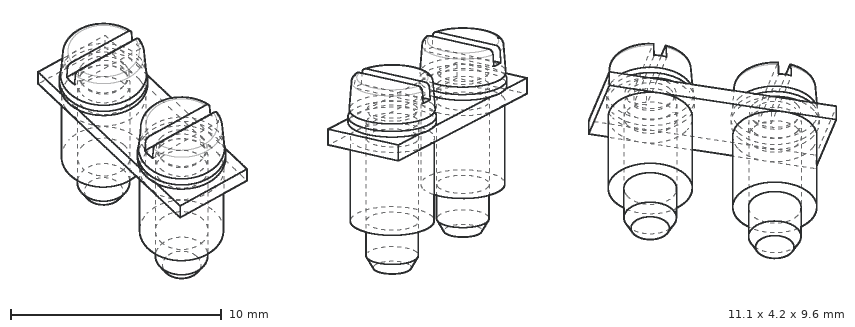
import cadquery as cq

PLATE_LENGTH = 11.1
PLATE_WIDTH = 4.0
PLATE_THICKNESS = 0.8
SCREW_PITCH = 6.09

SLEEVE_DIAMETER = 4.0
SLEEVE_LENGTH = 4.2

SHANK_DIAMETER = 2.5
SHANK_PROJECTION = 2.35
TIP_DIAMETER = 1.82
TIP_HEIGHT = 0.61

COLLAR_DIAMETER = 4.2
COLLAR_RIM_HEIGHT = 0.29
COLLAR_HEIGHT = 0.45
DOME_BULGE = 0.03
NECK_DIAMETER = 2.22
NECK_TOP_DIAMETER = 2.42
NECK_HEIGHT = 0.19

HEAD_BOTTOM_DIAMETER = 4.08
HEAD_TOP_DIAMETER = 3.84
HEAD_HEIGHT = 1.61
HEAD_EDGE_RADIUS = 0.24
SLOT_WIDTH = 0.61
SLOT_DEPTH = 0.82

SCREW_POSITIONS = [-SCREW_PITCH / 2, SCREW_PITCH / 2]


def make_plate():
    """Rectangular plate with one through hole per screw."""
    return (
        cq.Workplane("XY")
        .box(PLATE_LENGTH, PLATE_WIDTH, PLATE_THICKNESS, centered=(True, True, False))
        .faces(">Z")
        .workplane()
        .pushPoints([(x, 0) for x in SCREW_POSITIONS])
        .hole(SHANK_DIAMETER)
    )


def make_sleeve(x):
    """Tube hanging from the underside of the plate."""
    return (
        cq.Workplane("XY")
        .center(x, 0)
        .circle(SLEEVE_DIAMETER / 2)
        .circle(SHANK_DIAMETER / 2)
        .extrude(-SLEEVE_LENGTH)
    )


def make_screw_stem():
    """Shank with tapered tip, domed collar and neck, revolved about Z."""
    tip_z = -SLEEVE_LENGTH - SHANK_PROJECTION
    rim_z = PLATE_THICKNESS + COLLAR_RIM_HEIGHT
    neck_z = PLATE_THICKNESS + COLLAR_HEIGHT
    dome_middle_radius = (COLLAR_DIAMETER + NECK_DIAMETER) / 4
    dome_middle_z = (rim_z + neck_z) / 2 + DOME_BULGE
    return (
        cq.Workplane("XZ")
        .moveTo(0, tip_z)
        .lineTo(TIP_DIAMETER / 2, tip_z)
        .lineTo(SHANK_DIAMETER / 2, tip_z + TIP_HEIGHT)
        .lineTo(SHANK_DIAMETER / 2, PLATE_THICKNESS)
        .lineTo(COLLAR_DIAMETER / 2, PLATE_THICKNESS)
        .lineTo(COLLAR_DIAMETER / 2, rim_z)
        .threePointArc((dome_middle_radius, dome_middle_z), (NECK_DIAMETER / 2, neck_z))
        .lineTo(NECK_TOP_DIAMETER / 2, neck_z + NECK_HEIGHT)
        .lineTo(0, neck_z + NECK_HEIGHT)
        .close()
        .revolve(360, (0, 0, 0), (0, 1, 0))
    )


def make_screw_head():
    """Tapered head with a rounded top edge and a driver slot along Y."""
    base_z = PLATE_THICKNESS + COLLAR_HEIGHT + NECK_HEIGHT
    head = (
        cq.Workplane("XZ")
        .moveTo(0, base_z)
        .lineTo(HEAD_BOTTOM_DIAMETER / 2, base_z)
        .lineTo(HEAD_TOP_DIAMETER / 2, base_z + HEAD_HEIGHT)
        .lineTo(0, base_z + HEAD_HEIGHT)
        .close()
        .revolve(360, (0, 0, 0), (0, 1, 0))
        .faces(">Z")
        .edges()
        .fillet(HEAD_EDGE_RADIUS)
    )
    slot = (
        cq.Workplane("XY", origin=(0, 0, base_z + HEAD_HEIGHT))
        .rect(SLOT_WIDTH, HEAD_BOTTOM_DIAMETER)
        .extrude(-SLOT_DEPTH)
    )
    return head.cut(slot)


def make_screw(x):
    """Complete one-piece screw with its axis at the given X."""
    return make_screw_stem().union(make_screw_head()).translate((x, 0, 0))


plate = make_plate()
sleeves = [make_sleeve(x) for x in SCREW_POSITIONS]
screws = [make_screw(x) for x in SCREW_POSITIONS]

result = cq.Compound.makeCompound(
    [
        plate.val(),
        *[sleeve.val() for sleeve in sleeves],
        *[solid for screw in screws for solid in screw.solids().vals()],
    ]
)